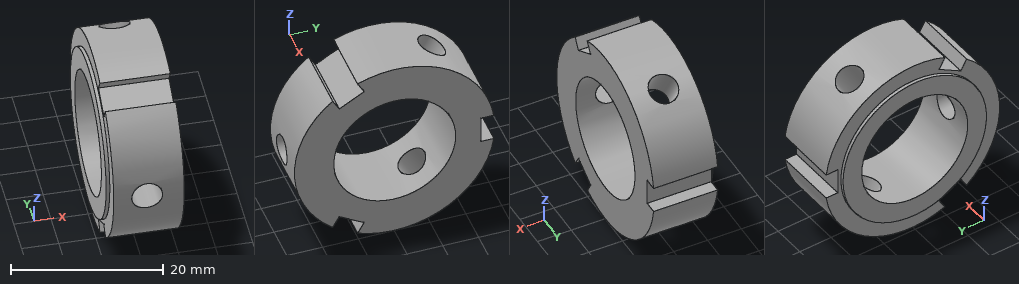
import cadquery as cq

total_width = 10.0
collar_width = 0.5
body_diameter = 28.0
collar_diameter = 23.0
bore_diameter = 17.0

slot_count = 3
slot_width = 4.0
slot_floor_radius = 12.0

hole_diameter = 4.13
hole_x = total_width / 2

body_width = total_width - collar_width
body_radius = body_diameter / 2
slot_pitch = 360.0 / slot_count
cut_margin = 1.0


def disc(diameter, x_start, width):
    """Solid cylinder along X."""
    return cq.Workplane("YZ", origin=(x_start, 0, 0)).circle(diameter / 2).extrude(width)


def wrench_slot(angle):
    """Cutter for one slot, turned about X from the +Y direction."""
    depth = body_radius - slot_floor_radius + cut_margin
    cutter = cq.Workplane("XY").box(
        body_width, depth, slot_width, centered=(False, False, True)
    )
    return cutter.translate((collar_width, slot_floor_radius, 0)).rotate((0, 0, 0), (1, 0, 0), angle)


def radial_hole(angle):
    """Cutter for one hole through a single wall, running from the axis outwards."""
    cutter = (
        cq.Workplane("XZ", origin=(hole_x, 0, 0))
        .circle(hole_diameter / 2)
        .extrude(body_radius + cut_margin)
    )
    return cutter.rotate((0, 0, 0), (1, 0, 0), angle)


ring = disc(body_diameter, collar_width, body_width)
ring = ring.union(disc(collar_diameter, 0, collar_width))
ring = ring.cut(disc(bore_diameter, 0, total_width))

for index in range(slot_count):
    turn = index * slot_pitch
    ring = ring.cut(wrench_slot(turn))
    ring = ring.cut(radial_hole(turn))

result = ring